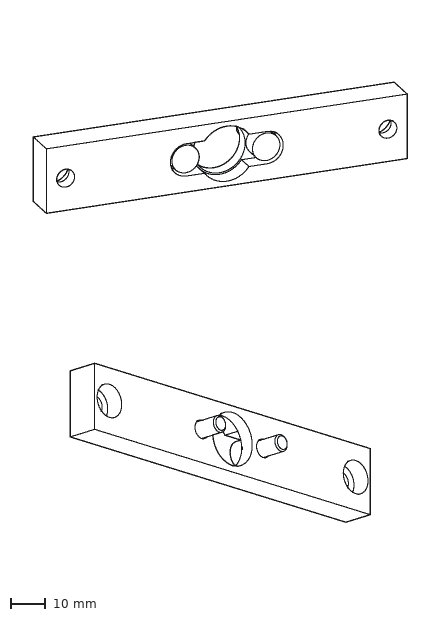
import cadquery as cq

BAR_THICKNESS = 10.0
BAR_LENGTH = 112.0
BAR_HEIGHT = 20.0

BORE_DIAMETER = 16.0
BACK_BORE_DIAMETER = 17.0

CLEARANCE_DIAMETER = 5.5
RECESS_WIDTH = 10.0
RECESS_DEPTH = 5.7
END_HOLE_SPACING = 100.0
SCREW_SPACING = 25.0

SCREW_DIAMETER = 5.0
SCREW_LENGTH = 12.0
SCREW_TIP_CHAMFER = 0.5
HEAD_DIAMETER = 8.5
HEAD_HEIGHT = 5.0

HEAD_SEAT_X = BAR_THICKNESS - RECESS_DEPTH


def cylinder(diameter, x_start, length, y=0.0):
    """Cylinder running along +X at the mid-height of the bar."""
    return cq.Workplane("YZ", origin=(x_start, y, 0)).circle(diameter / 2).extrude(length)


def symmetric_pair(spacing):
    """Y positions of two features placed symmetrically about the central bore."""
    return (-spacing / 2, spacing / 2)


def head_slot():
    """Round-ended slot across the back of the bar that holds both screw heads."""
    return (
        cq.Workplane("YZ", origin=(HEAD_SEAT_X, 0, 0))
        .slot2D(SCREW_SPACING + RECESS_WIDTH, RECESS_WIDTH)
        .extrude(RECESS_DEPTH)
    )


def make_bar():
    bar = cq.Workplane("XY").box(BAR_THICKNESS, BAR_LENGTH, BAR_HEIGHT, centered=(False, True, True))

    bar = bar.cut(cylinder(BORE_DIAMETER, 0, BAR_THICKNESS))
    bar = bar.cut(cylinder(BACK_BORE_DIAMETER, HEAD_SEAT_X, RECESS_DEPTH))

    for y in symmetric_pair(END_HOLE_SPACING):
        bar = bar.cut(cylinder(CLEARANCE_DIAMETER, 0, BAR_THICKNESS, y))
        bar = bar.cut(cylinder(RECESS_WIDTH, 0, RECESS_DEPTH, y))

    for y in symmetric_pair(SCREW_SPACING):
        bar = bar.cut(cylinder(CLEARANCE_DIAMETER, 0, BAR_THICKNESS, y))
    return bar.cut(head_slot())


def make_screw(y):
    shank = cylinder(SCREW_DIAMETER, HEAD_SEAT_X - SCREW_LENGTH, SCREW_LENGTH, y)
    shank = shank.faces("<X").chamfer(SCREW_TIP_CHAMFER)
    head = cylinder(HEAD_DIAMETER, HEAD_SEAT_X, HEAD_HEIGHT, y)
    return shank.union(head)


bar = make_bar()
screws = [make_screw(y) for y in symmetric_pair(SCREW_SPACING)]

result = cq.Compound.makeCompound([bar.val(), *[screw.val() for screw in screws]])